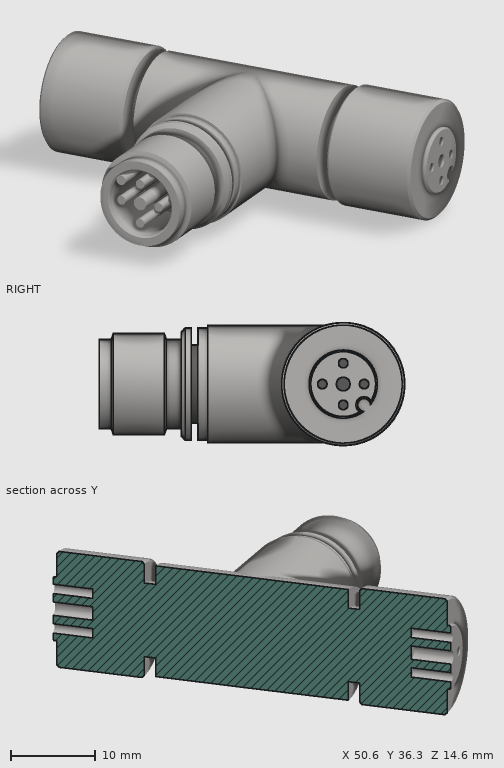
import cadquery as cq
import math


overall_length = 50.6

body_radius = 7.0
body_half_length = 12.25

insert_radius = 4.05
insert_projection = 0.5
insert_chamfer = 0.2
notch_radius = 0.75
notch_offset = 3.5
nut_radius = 7.31
nut_length = 11.15
nut_chamfer = 0.3
neck_radius = 4.65
contact_hole_depth = 5.05

outer_contact_count = 4
contact_circle_radius = 2.5
contact_radius = 0.55
center_contact_radius = 0.8

branch_end = 16.1
collar_radius = 6.7
collar_end = 17.25
groove_radius = 4.65
groove_end = 18.0
flange_end = 19.25
flange_chamfer = 0.5
plug_radius = 5.3
barrel_start = 21.0
barrel_radius = 6.0
barrel_end = 27.55
barrel_bevel = 0.25
plug_end = 28.97
bore_radius = 4.1
bore_depth = 8.6
bore_chamfer = 0.2
key_radius = 0.6
key_offset = 3.6

half_length = overall_length / 2
nut_face = half_length - insert_projection
nut_back = nut_face - nut_length
diagonal = math.cos(math.radians(45))


def cylinder_x(radius, start, end):
    return cq.Workplane("YZ", origin=(start, 0, 0)).circle(radius).extrude(end - start)


def turn_on_branch(profile):
    """Solid turned about the branch axis from (radius, distance from the run axis) points."""
    outline = [(radius, -distance) for radius, distance in profile]
    return cq.Workplane("XY").polyline(outline).close().revolve(360, (0, 0, 0), (0, 1, 0))


def contacts(plane, length):
    """Contacts on a circle and a thicker one in the middle."""
    places = plane.polarArray(contact_circle_radius, 0, 360, outer_contact_count)
    outer = places.circle(contact_radius).extrude(length)
    center = plane.circle(center_contact_radius).extrude(length)
    return outer.union(center)


def make_socket():
    """Socket at the +X end, its axis on the X axis."""
    neck = cylinder_x(neck_radius, 0, nut_face)
    nut = cylinder_x(nut_radius, nut_back, nut_face).edges().chamfer(nut_chamfer)

    notch_place = notch_offset * diagonal
    notch = (
        cq.Workplane("YZ", origin=(nut_face, 0, 0))
        .center(notch_place, -notch_place)
        .circle(notch_radius)
        .extrude(insert_projection)
    )
    insert = cylinder_x(insert_radius, nut_face, half_length)
    insert = insert.cut(notch).faces(">X").edges().chamfer(insert_chamfer)

    hole_floor = cq.Workplane("YZ", origin=(half_length - contact_hole_depth, 0, 0))
    return neck.union(nut).union(insert).cut(contacts(hole_floor, contact_hole_depth))


def make_plug():
    """Branch of the tee with its stepped plug."""
    profile = [
        (0, 0),
        (body_radius, 0),
        (body_radius, branch_end),
        (collar_radius, branch_end),
        (collar_radius, collar_end),
        (groove_radius, collar_end),
        (groove_radius, groove_end),
        (collar_radius, groove_end),
        (collar_radius, flange_end - flange_chamfer),
        (collar_radius - flange_chamfer, flange_end),
        (plug_radius, flange_end),
        (plug_radius, barrel_start),
        (barrel_radius, barrel_start + barrel_bevel),
        (barrel_radius, barrel_end - barrel_bevel),
        (plug_radius, barrel_end),
        (plug_radius, plug_end),
        (0, plug_end),
    ]
    return turn_on_branch(profile)


def make_plug_bore():
    """Bore of the plug, leaving the contact pins and the key standing flush with its rim."""
    floor = plug_end - bore_depth
    profile = [
        (0, floor),
        (bore_radius, floor),
        (bore_radius, plug_end - bore_chamfer),
        (bore_radius + bore_chamfer, plug_end),
        (0, plug_end),
    ]
    bore = turn_on_branch(profile)
    floor_plane = cq.Workplane("XZ", origin=(0, -floor, 0))
    pins = contacts(floor_plane, bore_depth)
    key_place = key_offset * diagonal
    key = floor_plane.center(-key_place, key_place).circle(key_radius).extrude(bore_depth)
    return bore.cut(pins).cut(key)


run = cylinder_x(body_radius, -body_half_length, body_half_length)
socket = make_socket()
opposite_socket = socket.mirror("YZ")
result = run.union(make_plug()).union(socket).union(opposite_socket).cut(make_plug_bore())